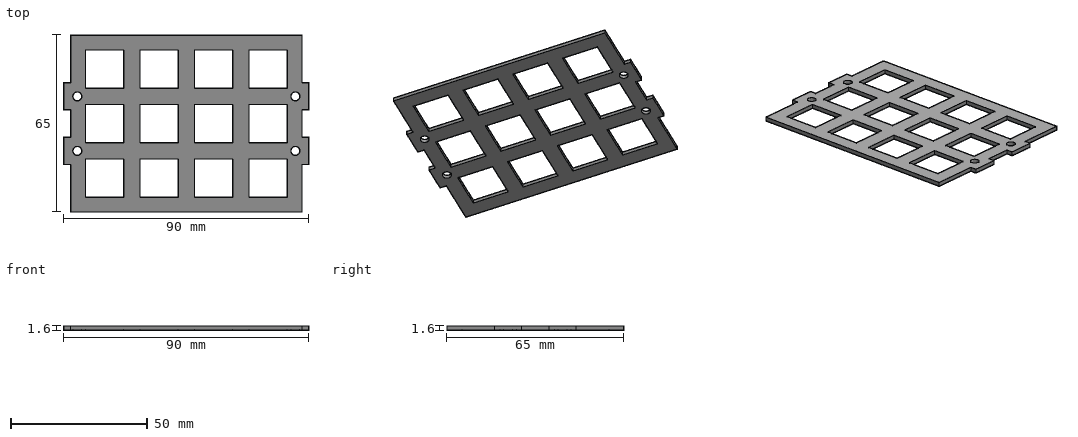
import cadquery as cq

plate_width = 85.0
plate_depth = 65.0
plate_thickness = 1.6

columns = 4
rows = 3
pitch = 20.0
window_size = 14.0

width_over_tabs = 90.0
tab_depth = 10.0
tab_spacing = 20.0
screw_hole_diameter = 3.2
screw_hole_inset = 5.0
screw_hole_spacing_x = width_over_tabs - 2 * screw_hole_inset


def make_plate():
    """Rectangular plate centred on X and Y, resting on Z = 0."""
    return cq.Workplane("XY").rect(plate_width, plate_depth).extrude(plate_thickness)


def add_tabs(body):
    """Join full-width bars whose ends stand out of the plate as tabs."""
    bars = (
        cq.Workplane("XY")
        .rarray(1, tab_spacing, 1, 2)
        .rect(width_over_tabs, tab_depth)
        .extrude(plate_thickness)
    )
    return body.union(bars)


def cut_windows(body):
    """Cut the grid of square windows through the plate."""
    windows = (
        cq.Workplane("XY")
        .rarray(pitch, pitch, columns, rows)
        .rect(window_size, window_size)
        .extrude(plate_thickness)
    )
    return body.cut(windows)


def cut_screw_holes(body):
    """Cut one screw hole through the plate at each tab."""
    holes = (
        cq.Workplane("XY")
        .rarray(screw_hole_spacing_x, tab_spacing, 2, 2)
        .circle(screw_hole_diameter / 2)
        .extrude(plate_thickness)
    )
    return body.cut(holes)


plate = add_tabs(make_plate())
result = cut_screw_holes(cut_windows(plate)).clean()